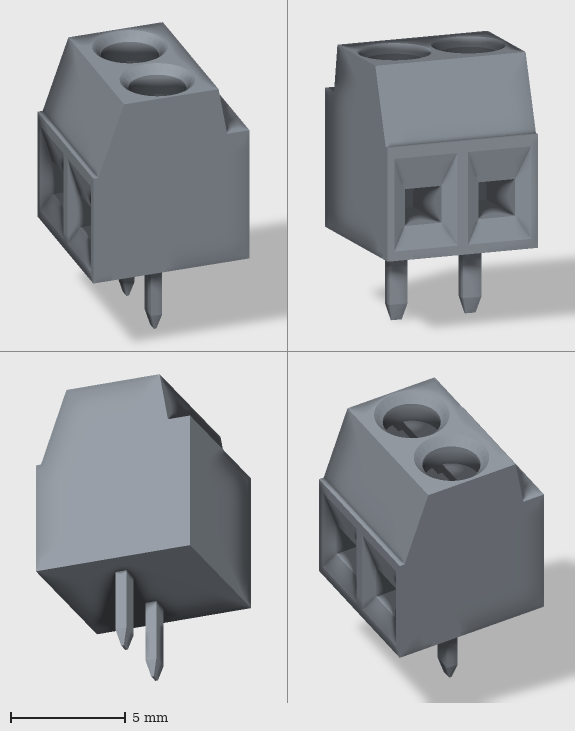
import cadquery as cq

WIDTH = 7.11
DEPTH = 7.29
HEIGHT = 12.01
BODY_BOTTOM = 3.51
FRONT_LEDGE_Z = 8.62
FRONT_LEDGE_DEPTH = 0.24
BACK_LEDGE_Z = 9.76
BACK_SLOPE_FOOT_Y = 6.25
TOP_FRONT_Y = 1.44
TOP_BACK_Y = 5.85

PITCH = 3.5
POLE_XS = [WIDTH / 2 - PITCH / 2, WIDTH / 2 + PITCH / 2]

ENTRY_WIDTH = 2.99
ENTRY_BOTTOM = 3.94
ENTRY_TOP = 8.11
THROAT_WIDTH = 1.73
THROAT_BOTTOM = 4.96
THROAT_TOP = 6.62
FUNNEL_DEPTH = 0.34

WELL_Y = 3.65
MOUTH_DIAMETER = 3.3
WELL_DIAMETER = 2.55
MOUTH_DEPTH = 0.38
WELL_DEPTH = 1.32
SLOT_WIDTH = 0.52
SLOT_DEPTH = 0.48

THROAT_END_Y = WELL_Y

PIN_Y = 3.46
PIN_WIDTH = 0.86
PIN_THICKNESS = 0.52
TAPER_HEIGHT = 0.75
TIP_WIDTH = 0.48
TIP_THICKNESS = 0.12


def housing():
    profile = [
        (0, BODY_BOTTOM),
        (DEPTH, BODY_BOTTOM),
        (DEPTH, BACK_LEDGE_Z),
        (BACK_SLOPE_FOOT_Y, BACK_LEDGE_Z),
        (TOP_BACK_Y, HEIGHT),
        (TOP_FRONT_Y, HEIGHT),
        (FRONT_LEDGE_DEPTH, FRONT_LEDGE_Z),
        (0, FRONT_LEDGE_Z),
    ]
    return cq.Workplane("YZ").polyline(profile).close().extrude(WIDTH)


def wire_entry(x):
    entry_z = (ENTRY_BOTTOM + ENTRY_TOP) / 2
    throat_z = (THROAT_BOTTOM + THROAT_TOP) / 2
    funnel = (
        cq.Workplane("XZ")
        .center(x, entry_z)
        .rect(ENTRY_WIDTH, ENTRY_TOP - ENTRY_BOTTOM)
        .workplane(offset=-FUNNEL_DEPTH)
        .center(0, throat_z - entry_z)
        .rect(THROAT_WIDTH, THROAT_TOP - THROAT_BOTTOM)
        .loft(ruled=True)
    )
    throat = (
        cq.Workplane("XZ", origin=(x, FUNNEL_DEPTH, throat_z))
        .rect(THROAT_WIDTH, THROAT_TOP - THROAT_BOTTOM)
        .extrude(FUNNEL_DEPTH - THROAT_END_Y)
    )
    return funnel.union(throat)


def screw_well(x):
    top = cq.Workplane("XY", origin=(x, WELL_Y, HEIGHT))
    well_floor = cq.Workplane("XY", origin=(x, WELL_Y, HEIGHT - WELL_DEPTH))
    well = top.circle(WELL_DIAMETER / 2).extrude(-WELL_DEPTH)
    mouth = (
        top.circle(MOUTH_DIAMETER / 2)
        .workplane(offset=-MOUTH_DEPTH)
        .circle(WELL_DIAMETER / 2)
        .loft(ruled=True)
    )
    slot = (
        well_floor.rect(WELL_DIAMETER, SLOT_WIDTH)
        .extrude(-SLOT_DEPTH)
        .intersect(well_floor.circle(WELL_DIAMETER / 2).extrude(-SLOT_DEPTH))
    )
    return well.union(mouth).union(slot)


def pin(x):
    shank = (
        cq.Workplane("XY", origin=(x, PIN_Y, TAPER_HEIGHT))
        .rect(PIN_WIDTH, PIN_THICKNESS)
        .extrude(BODY_BOTTOM - TAPER_HEIGHT)
    )
    tip = (
        cq.Workplane("XY", origin=(x, PIN_Y, 0))
        .rect(TIP_WIDTH, TIP_THICKNESS)
        .workplane(offset=TAPER_HEIGHT)
        .rect(PIN_WIDTH, PIN_THICKNESS)
        .loft(ruled=True)
    )
    return shank.union(tip)


result = housing()
for pole_x in POLE_XS:
    result = result.cut(wire_entry(pole_x)).cut(screw_well(pole_x)).union(pin(pole_x))